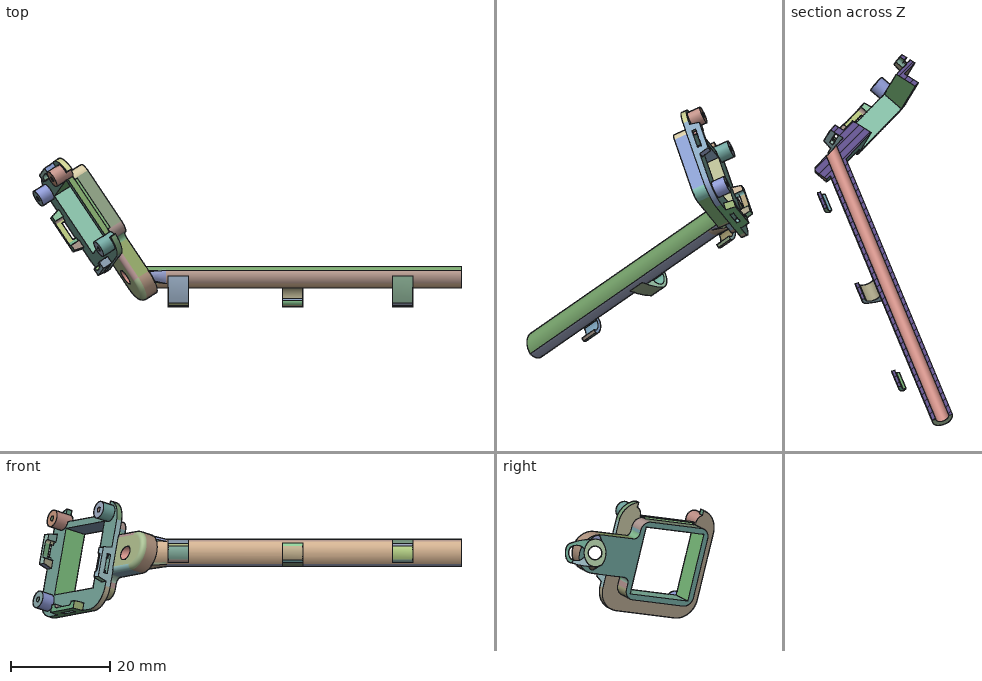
import cadquery as cq


ROD_START_X = -5.6
ROD_END_X = 59.1
ROD_WIDTH = 4.4
ROD_HEIGHT = 5.55
BORE_DIAMETER = 2.7
BORE_START_X = -14.0
ROD_FRONT_EDGE = (-1.3, 2.3)
ROD_BACK_EDGE = (1.35, 2.4)
ROD_TOP_Y = 0.1

HOOK_WIDTH = 4.1
TOP_HOOK_X = (2.1, 47.25)
BOTTOM_HOOK_X = 25.1
HOOK_REACH = 6.0
HOOK_THICKNESS = 0.7
HOOK_ROOT_Y = 0.25
HOOK_CROWN_Y = -2.6
HOOK_CROWN_DROP = 0.2
HOOK_BEVEL = 0.5
HOOK_BEVEL_DROP = 0.85
HOOK_INNER_CORNER = (-2.0, 0.5)
HOOK_INNER_CROWN = (-3.6, 1.55)
HOOK_TIP_Z = -1.95
HOOK_TIP_LENGTH = 1.0
HOOK_TIP_RISE = 0.55
HOOK_CURL = 0.6
HOOK_CURL_BULGE = 0.15
HOOK_INNER_BEND = 0.35

FRAME_ORIGIN = (-17.81, 12.14, -1.04)
FRAME_TILT = 74.49
FRAME_ROLL = -5.94
FRAME_YAW = -56.29

WINDOW = 14.0
FLANGE_SIZE = 23.0
FLANGE_TOP_V = 11.25
FLANGE_THICKNESS = 1.2
FLANGE_RADIUS = 4.4
NOTCH_WIDTH = 15.8
NOTCH_FLOOR_V = 8.4

BODY_SIZE = 16.3
BODY_RADIUS = 2.0
BODY_REAR_N = -4.6
RAIL_BEVEL_REAR_N = -1.85

POST_SPACING = 17.0
POST_DIAMETER = 3.5
POST_HEIGHT = 2.75
POST_HOLE_DIAMETER = 1.0

LOOP_HEIGHT = 2.0
LOOP_BAR = 0.8
LOOP_LEG_DEPTH = 1.6
LOOP_LEG_WIDTH = 1.2
LOOP_END_SLOPE = 0.5
LOOP_SLOT_LENGTH = 4.0
LOOP_INNER_RADIUS = 0.6
LOOP_SLOT_HEIGHT = 0.8
BOTTOM_LOOP_LENGTH = 9.2
SIDE_LOOP_LENGTH = 7.2
LEFT_LOOP_V = 2.5
RIGHT_LOOP_V = -2.5

LUG_FRONT_N = -1.05
LUG_HALF_HEIGHT = 4.05
LUG_V = 0.25
LUG_END_U = 17.25
LUG_FILLET = 1.0
NECK_FILLET = 1.2
NECK_SEARCH = 0.1

ELBOW_START_U = 16.8
ELBOW_START_N = -2.85
ELBOW_START_WIDTH = 3.4
ELBOW_START_HEIGHT = 8.0
ELBOW_END_X = -0.3


def place_frame(shape):
    """Move a shape from the frame's U, V, N axes to its place beside the rod."""
    tilted = shape.rotate((0, 0, 0), (1, 0, 0), FRAME_TILT)
    rolled = tilted.rotate((0, 0, 0), (0, 1, 0), FRAME_ROLL)
    turned = rolled.rotate((0, 0, 0), (0, 0, 1), FRAME_YAW)
    return turned.translate(FRAME_ORIGIN)


def draw_rod_section(plane, width_scale, height_scale):
    """The rod's four-arc outline on a plane whose x is the rod's Y and whose y is its Z."""
    front_y = ROD_FRONT_EDGE[0] * width_scale
    front_z = ROD_FRONT_EDGE[1] * height_scale
    back_y = ROD_BACK_EDGE[0] * width_scale
    back_z = ROD_BACK_EDGE[1] * height_scale
    top_y = ROD_TOP_Y * width_scale
    half_width = ROD_WIDTH / 2 * width_scale
    half_height = ROD_HEIGHT / 2 * height_scale
    return (
        cq.Workplane(plane)
        .moveTo(front_y, -front_z)
        .threePointArc((-half_width, 0), (front_y, front_z))
        .threePointArc((top_y, half_height), (back_y, back_z))
        .threePointArc((half_width, 0), (back_y, -back_z))
        .threePointArc((top_y, -half_height), (front_y, -front_z))
        .close()
    )


def make_rod():
    plane = cq.Plane.named("YZ", origin=(ROD_START_X, 0, 0))
    return draw_rod_section(plane, 1, 1).extrude(ROD_END_X - ROD_START_X)


def make_hook(centre_x, side):
    """One hook; side is +1 to spring from the top of the rod, -1 from the bottom."""
    top = ROD_HEIGHT / 2
    front = -HOOK_REACH
    inside = front + HOOK_THICKNESS
    bevel_top = top - HOOK_BEVEL_DROP
    bevel_bottom = bevel_top - HOOK_BEVEL
    bevel_front = front + HOOK_THICKNESS / 2
    curl_start_z = HOOK_TIP_Z + HOOK_CURL
    tip_inner_z = HOOK_TIP_Z + HOOK_TIP_RISE
    inner_bend_z = curl_start_z + HOOK_CURL_BULGE
    inner_top_z = bevel_bottom - HOOK_INNER_BEND
    corner_y, corner_z = HOOK_INNER_CORNER
    crown_y, crown_z = HOOK_INNER_CROWN
    profile = (
        cq.Workplane("YZ")
        .moveTo(HOOK_ROOT_Y, side * top)
        .threePointArc(
            (HOOK_CROWN_Y, side * (top - HOOK_CROWN_DROP)),
            (bevel_front + HOOK_BEVEL, side * bevel_top),
        )
        .lineTo(bevel_front, side * bevel_bottom)
        .threePointArc((front, 0), (bevel_front, side * curl_start_z))
        .threePointArc(
            (inside, side * (HOOK_TIP_Z + HOOK_CURL_BULGE)),
            (inside + HOOK_CURL, side * HOOK_TIP_Z),
        )
        .lineTo(inside + HOOK_TIP_LENGTH, side * tip_inner_z)
        .lineTo(inside + HOOK_INNER_BEND, side * inner_bend_z)
        .threePointArc((inside, 0), (bevel_front + HOOK_THICKNESS, side * inner_top_z))
        .threePointArc((crown_y, side * crown_z), (corner_y, side * corner_z))
        .lineTo(HOOK_ROOT_Y, side * corner_z)
        .close()
    )
    return profile.extrude(HOOK_WIDTH).translate((centre_x - HOOK_WIDTH / 2, 0, 0))


def make_flange():
    flange = (
        cq.Workplane("XY")
        .center(0, (FLANGE_TOP_V - FLANGE_SIZE / 2) / 2)
        .rect(FLANGE_SIZE, FLANGE_SIZE / 2 + FLANGE_TOP_V)
        .extrude(-FLANGE_THICKNESS)
        .edges("|Z")
        .fillet(FLANGE_RADIUS)
    )
    notch = (
        cq.Workplane("XY")
        .center(0, NOTCH_FLOOR_V + FLANGE_SIZE / 2)
        .rect(NOTCH_WIDTH, FLANGE_SIZE)
        .extrude(-FLANGE_THICKNESS)
    )
    return flange.cut(notch)


def make_body():
    return (
        cq.Workplane("XY")
        .rect(BODY_SIZE, BODY_SIZE)
        .extrude(BODY_REAR_N)
        .edges("|Z")
        .fillet(BODY_RADIUS)
    )


def make_rail_bevel():
    """Wedge sloping from the notch floor down to the top of the body."""
    body_top = BODY_SIZE / 2
    wedge = (
        cq.Workplane("YZ")
        .moveTo(WINDOW / 2, -FLANGE_THICKNESS)
        .lineTo(NOTCH_FLOOR_V, -FLANGE_THICKNESS)
        .lineTo(body_top, RAIL_BEVEL_REAR_N)
        .lineTo(WINDOW / 2, RAIL_BEVEL_REAR_N)
        .close()
    )
    return wedge.extrude(WINDOW / 2 - BODY_RADIUS / 2, both=True)


def make_lug():
    thickness = LUG_FRONT_N - BODY_REAR_N
    lug = (
        cq.Workplane("XY", origin=(0, LUG_V, BODY_REAR_N))
        .moveTo(WINDOW / 2, -LUG_HALF_HEIGHT)
        .lineTo(LUG_END_U, -LUG_HALF_HEIGHT)
        .threePointArc((LUG_END_U + LUG_HALF_HEIGHT, 0), (LUG_END_U, LUG_HALF_HEIGHT))
        .lineTo(WINDOW / 2, LUG_HALF_HEIGHT)
        .close()
        .extrude(thickness)
    )
    return lug.faces(">Z").edges("not <X").fillet(LUG_FILLET)


def make_elbow():
    """Loft from a tall rod-like outline inside the lug to the rod's own outline."""
    start_origin = (ELBOW_START_U, LUG_V, ELBOW_START_N)
    lug_plane = cq.Plane(origin=start_origin, xDir=(0, 0, -1), normal=(1, 0, 0))
    width_scale = ELBOW_START_WIDTH / ROD_WIDTH
    height_scale = ELBOW_START_HEIGHT / ROD_HEIGHT
    start = place_frame(draw_rod_section(lug_plane, width_scale, height_scale).wire().val())
    rod_plane = cq.Plane.named("YZ", origin=(ELBOW_END_X, 0, 0))
    end = draw_rod_section(rod_plane, 1, 1).wire().val()
    return cq.Workplane(cq.Solid.makeLoft([start, end]))


def make_posts():
    half = POST_SPACING / 2
    corners = [(-half, half), (half, half), (-half, -half)]
    height = POST_HEIGHT + FLANGE_THICKNESS
    posts = cq.Workplane("XY", origin=(0, 0, -FLANGE_THICKNESS)).pushPoints(corners)
    holes = cq.Workplane("XY").pushPoints(corners).circle(POST_HOLE_DIAMETER / 2).extrude(POST_HEIGHT)
    return posts.circle(POST_DIAMETER / 2).extrude(height).cut(holes)


def make_loop(length, angle, along):
    """A loop on the bottom edge, turned by angle about N; along shifts it along that edge."""
    edge_v = -FLANGE_SIZE / 2
    half = length / 2
    top_half = half - LOOP_END_SLOPE
    side_outline = [(-half, 0), (half, 0), (top_half, LOOP_HEIGHT), (-top_half, LOOP_HEIGHT)]
    outer = cq.Workplane("XZ").polyline(side_outline).close().extrude(-LOOP_LEG_DEPTH)
    gap_width = length - 2 * (LOOP_LEG_WIDTH + LOOP_END_SLOPE)
    gap = (
        cq.Workplane("XY", origin=(0, LOOP_BAR, 0))
        .box(gap_width, LOOP_LEG_DEPTH, LOOP_HEIGHT, centered=(True, False, False))
        .edges("|Z and <Y")
        .fillet(LOOP_INNER_RADIUS)
    )
    slot = (
        cq.Workplane("XY")
        .box(LOOP_SLOT_LENGTH, LOOP_BAR, LOOP_SLOT_HEIGHT, centered=(True, False, False))
    )
    loop = outer.cut(gap).cut(slot).translate((along, edge_v, 0))
    return loop.rotate((0, 0, 0), (0, 0, 1), angle)


def make_frame():
    body = make_body().union(make_lug())
    half_body = BODY_SIZE / 2
    neck_edges = cq.selectors.BoxSelector(
        (half_body - NECK_SEARCH, -half_body, BODY_REAR_N),
        (half_body + NECK_SEARCH, half_body, 0),
    )
    body = body.edges("|Z").edges(neck_edges).fillet(NECK_FILLET)
    frame = make_flange().union(body).union(make_rail_bevel()).union(make_posts())
    frame = frame.union(make_loop(BOTTOM_LOOP_LENGTH, 0, 0))
    frame = frame.union(make_loop(SIDE_LOOP_LENGTH, 90, RIGHT_LOOP_V))
    frame = frame.union(make_loop(SIDE_LOOP_LENGTH, -90, -LEFT_LOOP_V))
    return frame


def make_window():
    return cq.Workplane("XY").rect(WINDOW, WINDOW).extrude(BODY_REAR_N)


def make_bore():
    """Bore along the rod axis, from clear of the lug's front face to the rod's free end."""
    bore = cq.Workplane("YZ", origin=(BORE_START_X, 0, 0)).circle(BORE_DIAMETER / 2)
    return bore.extrude(ROD_END_X - BORE_START_X)


part = make_rod().union(make_hook(BOTTOM_HOOK_X, -1))
for hook_x in TOP_HOOK_X:
    part = part.union(make_hook(hook_x, 1))
part = part.union(place_frame(make_frame())).union(make_elbow())
result = part.cut(place_frame(make_window())).cut(make_bore())